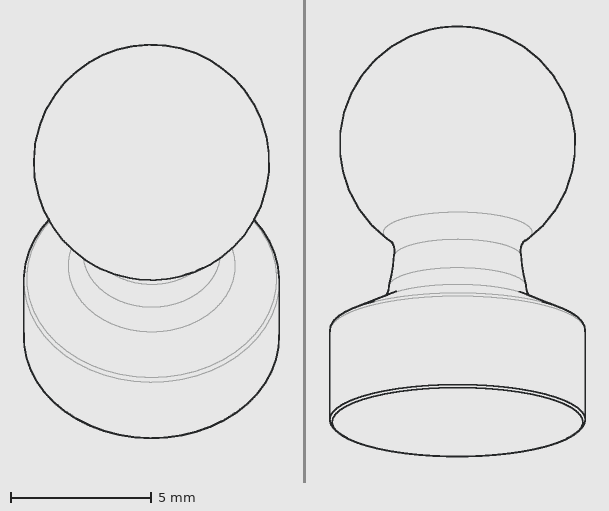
import cadquery as cq
import math

height = 14.5
base_radius = 9.1 / 2
bottom_chamfer = 0.09
base_side_top = 3.38
rim_round_top = 3.52
rim_round_radius = 4.45

shoulder_radius = 2.97
shoulder_top = 4.26
lower_blend_mid = (2.58, 4.58)

neck_bottom = (2.45, 5.03)
neck_mid = (2.33, 5.58)
neck_top = (2.28, 6.13)

upper_blend_mid = (2.32, 6.67)
ball_radius = 4.2
ball_seat_radius = 5.3 / 2

ball_center = height - ball_radius
ball_seat_height = ball_center - math.sqrt(ball_radius**2 - ball_seat_radius**2)

rim_bulge = 0.022
rim_mid = (
    (base_radius + rim_round_radius) / 2 + rim_bulge,
    (base_side_top + rim_round_top) / 2 + rim_bulge,
)

profile = (
    cq.Workplane("XZ")
    .lineTo(base_radius - bottom_chamfer, 0)
    .lineTo(base_radius, bottom_chamfer)
    .lineTo(base_radius, base_side_top)
    .threePointArc(rim_mid, (rim_round_radius, rim_round_top))
    .lineTo(shoulder_radius, shoulder_top)
    .threePointArc(lower_blend_mid, neck_bottom)
    .threePointArc(neck_mid, neck_top)
    .threePointArc(upper_blend_mid, (ball_seat_radius, ball_seat_height))
    .threePointArc((ball_radius, ball_center), (0, height))
    .close()
)

result = profile.revolve(360, (0, 0, 0), (0, 1, 0))